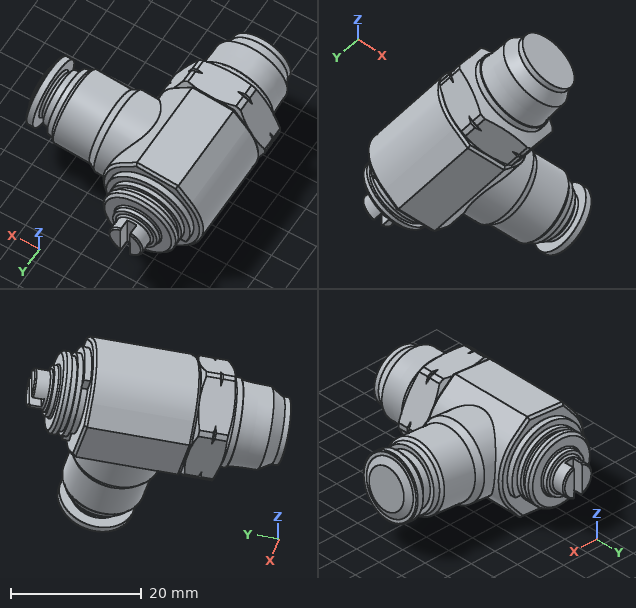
import cadquery as cq
import math

outlet_tilt = 5.0
origin = (0, 0, 0)
y_axis = (0, 1, 0)
overall_length = 39.85

tip_radius = 5.3
tip_height = 0.95
thread_start = 3.03
thread_start_radius = 6.55
thread_middle = 5.55
thread_middle_radius = 6.57
thread_end = 7.93
thread_end_radius = 6.77
collar_radius = 7.0

hex_bottom = 8.95
hex_flats = 16.9
hex_corner_radius = 9.5
hex_bottom_chamfer = 0.9
hex_top_chamfer = 0.6
hex_groove_height = 12.0
hex_groove_depth = 0.45
hex_groove_half_width = 0.2

body_bottom = 15.0
body_top = 32.05
body_diameter = 17.95
body_radius = body_diameter / 2
body_chamfer = 0.45

clip_radius = 7.53
clip_top = 33.1
clip_opening_z = -3.2
neck_radius = 5.9
flange_radius = 6.5
flange_groove_bottom = 33.95
flange_groove_top = 34.85
flange_top = 36.1
flange_chamfer = 0.48

shoulder_foot_radius = 4.25
shoulder_radius = 4.05
shoulder_foot_top = 36.37
shoulder_top_radius = 3.95
shoulder_top = 37.0
shoulder_rim_radius = 3.4
shoulder_rim_top = 37.1
stem_bottom = 37.4
stem_radius = 3.03
stem_chamfer = 0.25
slot_width = 1.67
slot_depth = 1.95

outlet_height = 23.5
root_radius = 7.25
root_end = 11.2
sleeve_start = 12.45
sleeve_radius = 6.55
sleeve_end = 19.0
sleeve_chamfer = 0.5
nose_end = 20.5
nose_tip_radius = 5.78
guide_radius = 4.98
guide_tip_radius = 4.85
guide_end = 21.85
release_neck_radius = 4.0
release_neck_end = 22.55
release_flare_radius = 4.22
release_radius = 6.0
release_bottom = 23.0
release_rim_top = 24.3
release_chamfer = 0.2
dome_radius = 5.18
dome_tip_radius = 3.85
outlet_end = 25.0


def revolve_on_y(profile):
    """Solid of revolution about Y from (radius, height) points."""
    bottom = profile[0][1]
    top = profile[-1][1]
    points = [(0, bottom)] + profile + [(0, top)]
    return cq.Workplane("XY").polyline(points).close().revolve(360, origin, y_axis)


def prism_on_y(outline, bottom, top):
    """Prism along Y from a closed outline on the XZ plane."""
    return outline.extrude(bottom - top).translate((0, bottom, 0))


def tilt(shape):
    """Turn a shape about Y so that its +X side rises by the outlet tilt."""
    return shape.rotate(origin, y_axis, -outlet_tilt)


def threaded_end():
    return revolve_on_y([
        (tip_radius, 0),
        (tip_radius, tip_height),
        (thread_start_radius, thread_start),
        (thread_middle_radius, thread_middle),
        (thread_end_radius, thread_end),
        (collar_radius, thread_end),
        (collar_radius, hex_bottom),
    ])


def hex_nut():
    width_across_corners = hex_flats / math.cos(math.pi / 6)
    outline = cq.Workplane("XZ").polygon(6, width_across_corners)
    nut = prism_on_y(outline, hex_bottom, body_bottom)
    envelope = revolve_on_y([
        (collar_radius, hex_bottom),
        (hex_corner_radius, hex_bottom + hex_bottom_chamfer),
        (hex_corner_radius, hex_groove_height - hex_groove_half_width),
        (hex_corner_radius - hex_groove_depth, hex_groove_height),
        (hex_corner_radius, hex_groove_height + hex_groove_half_width),
        (hex_corner_radius, body_bottom - hex_top_chamfer),
        (hex_flats / 2, body_bottom),
    ])
    return nut.intersect(envelope)


def body():
    half_flat = body_radius * math.tan(math.pi / 8)
    tangent = body_radius * math.cos(math.pi / 4)
    outline = (
        cq.Workplane("XZ")
        .moveTo(tangent, tangent)
        .lineTo(half_flat, body_radius)
        .lineTo(-half_flat, body_radius)
        .lineTo(-tangent, tangent)
        .threePointArc((-body_radius, 0), (-tangent, -tangent))
        .lineTo(-half_flat, -body_radius)
        .lineTo(half_flat, -body_radius)
        .lineTo(tangent, -tangent)
        .threePointArc((body_radius, 0), (tangent, tangent))
        .close()
    )
    block = prism_on_y(outline, body_bottom, body_top)
    return tilt(block.faces("<Y or >Y").chamfer(body_chamfer))


def retaining_clip():
    """Flat ring on the neck, open on its -Z side."""
    clip = revolve_on_y([(clip_radius, body_top), (clip_radius, clip_top)])
    opening_depth = clip_radius + clip_opening_z
    opening = cq.Workplane("XY").box(
        2 * clip_radius, clip_top - body_top, opening_depth, centered=(True, False, False)
    )
    return clip.cut(opening.translate((0, body_top, -clip_radius)))


def cap_and_screw():
    cap = revolve_on_y([
        (neck_radius, body_top),
        (neck_radius, clip_top),
        (flange_radius, clip_top),
        (flange_radius, flange_groove_bottom),
        (neck_radius, flange_groove_bottom),
        (neck_radius, flange_groove_top),
        (flange_radius, flange_groove_top),
        (flange_radius, flange_top - flange_chamfer),
        (flange_radius - flange_chamfer, flange_top),
        (shoulder_foot_radius, flange_top),
        (shoulder_radius, shoulder_foot_top),
        (shoulder_top_radius, shoulder_top),
        (shoulder_rim_radius, shoulder_rim_top),
        (stem_radius, stem_bottom),
        (stem_radius, overall_length - stem_chamfer),
        (stem_radius - stem_chamfer, overall_length),
    ])
    slot = cq.Workplane("XY").box(slot_width, slot_depth, 2 * stem_radius)
    return cap.cut(slot.translate((0, overall_length - slot_depth / 2, 0)))


def outlet():
    spout = revolve_on_y([
        (root_radius, 0),
        (root_radius, root_end),
        (sleeve_radius, sleeve_start),
        (sleeve_radius, sleeve_end),
        (sleeve_radius - sleeve_chamfer, sleeve_end + sleeve_chamfer),
        (nose_tip_radius, nose_end),
        (guide_radius, nose_end),
        (guide_tip_radius, guide_end),
        (release_neck_radius, guide_end),
        (release_neck_radius, release_neck_end),
        (release_flare_radius, release_bottom),
        (release_radius, release_bottom),
        (release_radius, release_rim_top - release_chamfer),
        (release_radius - release_chamfer, release_rim_top),
        (dome_radius, release_rim_top),
        (dome_tip_radius, outlet_end),
    ])
    spout = spout.rotate(origin, (0, 0, 1), -90)
    return tilt(spout).translate((0, outlet_height, 0))


result = (
    body()
    .union(outlet())
    .union(hex_nut())
    .union(threaded_end())
    .union(cap_and_screw())
    .union(retaining_clip())
)